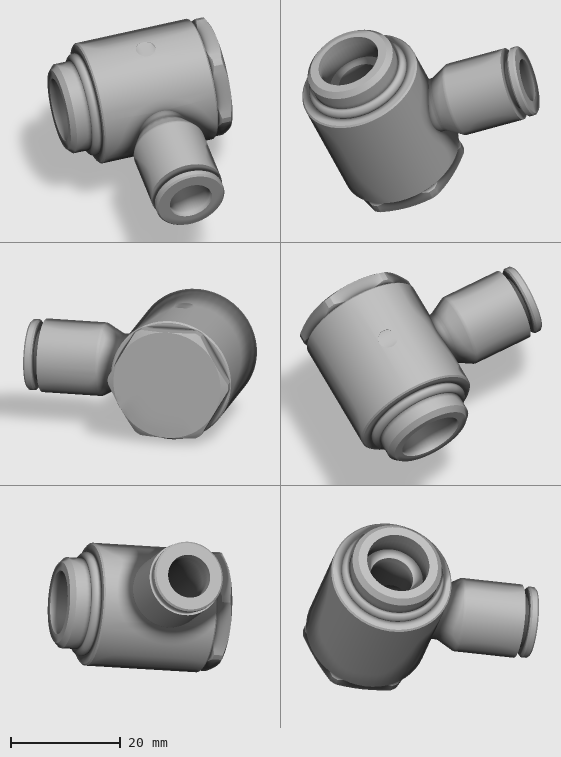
import cadquery as cq
import math


body_radius = 11.2
body_front = -11.05
body_back = 10.5
body_chamfer = 0.28

hex_across_flats = 20.0
hex_back = 13.5
hex_corner_chamfer = 0.68

thread_front = -16.4
thread_radius = 8.3
thread_chamfer = 0.9
ring_section_radius = 1.0
ring_outer_radius = 9.5
ring_standoff = 0.68
ring_center = body_front - ring_standoff

bore_radius = 3.98
counterbore_radius = 5.8
counterbore_depth = 5.5

neck_radius = 4.93
cone_start = 11.5
sleeve_radius = 6.7
sleeve_start = 14.7
cone_blend = 1.0
sleeve_end = 25.9
groove_radius = 4.6
collar_start = 27.0
collar_end = 28.55
collar_radius = 6.48
collar_edge = 0.3

mark_radius = 1.8


def cylinder_along_y(radius, start, end):
    """Cylinder on the body axis between two Y positions."""
    return cq.Workplane("XZ", origin=(0, start, 0)).circle(radius).extrude(start - end)


def make_body():
    body = cylinder_along_y(body_radius, body_front, body_back)
    return body.faces("<Y or >Y").chamfer(body_chamfer)


def make_hex_head():
    """Hexagon with corners on X, turned down to the body radius and chamfered on both sides."""
    flat_radius = hex_across_flats / 2
    across_corners = hex_across_flats / math.cos(math.radians(30))
    hexagon = (
        cq.Workplane("XZ", origin=(0, body_back, 0))
        .polygon(6, across_corners)
        .extrude(body_back - hex_back)
    )
    turned_blank = (
        cq.Workplane("XY")
        .moveTo(0, body_back)
        .lineTo(flat_radius, body_back)
        .lineTo(body_radius, body_back + hex_corner_chamfer)
        .lineTo(body_radius, hex_back - hex_corner_chamfer)
        .lineTo(flat_radius, hex_back)
        .lineTo(0, hex_back)
        .close()
        .revolve(360, (0, 0, 0), (0, 1, 0))
    )
    return hexagon.intersect(turned_blank)


def make_threaded_end():
    thread = cylinder_along_y(thread_radius, thread_front, body_front)
    return thread.faces("<Y").chamfer(thread_chamfer)


def make_sealing_ring():
    """Round-section ring seated in the front face of the body."""
    ring_path_radius = ring_outer_radius - ring_section_radius
    return (
        cq.Workplane("XY")
        .moveTo(ring_path_radius, ring_center)
        .circle(ring_section_radius)
        .revolve(360, (0, 0, 0), (0, 1, 0))
    )


def make_port():
    """Neck, blended cone, sleeve, groove and release collar turned about X."""
    edge_margin = 0.05
    port = (
        cq.Workplane("XY")
        .moveTo(0, 0)
        .lineTo(0, neck_radius)
        .lineTo(cone_start, neck_radius)
        .lineTo(sleeve_start, sleeve_radius)
        .lineTo(sleeve_end, sleeve_radius)
        .lineTo(sleeve_end, groove_radius)
        .lineTo(collar_start, groove_radius)
        .lineTo(collar_start, collar_radius - collar_edge)
        .lineTo(collar_start + collar_edge, collar_radius)
        .lineTo(collar_end - collar_edge, collar_radius)
        .lineTo(collar_end, collar_radius - collar_edge)
        .lineTo(collar_end, 0)
        .close()
        .revolve(360, (0, 0, 0), (1, 0, 0))
    )
    for edge_x in (cone_start, sleeve_start):
        cone_edge = cq.selectors.BoxSelector(
            (edge_x - edge_margin, -sleeve_radius, -sleeve_radius),
            (edge_x + edge_margin, sleeve_radius, sleeve_radius),
        )
        port = port.edges(cone_edge).fillet(cone_blend)
    return port


def make_bores():
    """Passage from the front end to the side port, with a ball-shaped elbow."""
    counterbore = cylinder_along_y(counterbore_radius, thread_front, thread_front + counterbore_depth)
    inlet = cylinder_along_y(bore_radius, thread_front, 0)
    elbow = cq.Workplane("XY").sphere(bore_radius)
    outlet = cq.Workplane("YZ").circle(bore_radius).extrude(collar_end)
    return counterbore.union(inlet).union(elbow).union(outlet)


def make_mark_flat():
    """Cutter for a flat meeting the body surface at both X ends of its circle."""
    flat_height = math.sqrt(body_radius**2 - mark_radius**2)
    return (
        cq.Workplane("XY", origin=(0, 0, flat_height))
        .circle(mark_radius)
        .extrude(body_radius - flat_height)
    )


result = (
    make_body()
    .union(make_hex_head())
    .union(make_threaded_end())
    .union(make_sealing_ring())
    .union(make_port())
    .cut(make_bores())
    .cut(make_mark_flat())
)